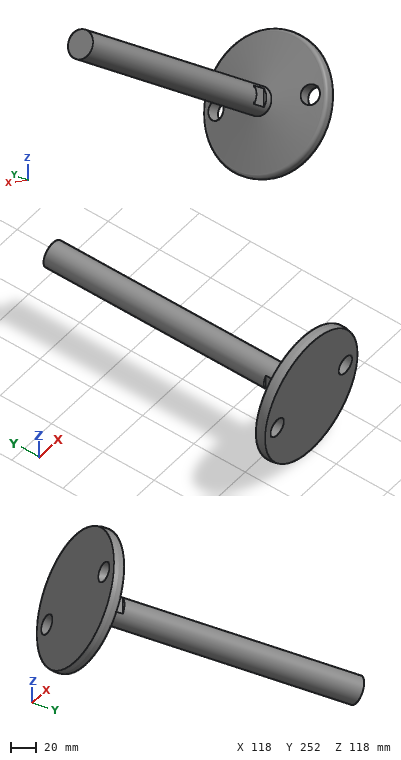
import cadquery as cq
import math

foot_diameter = 118.0
total_length = 252.0
stem_diameter = 24.0

rim_height = 10.0
cone_top_y = 17.35
rim_round = 3.0
sole_taper_height = 3.8
sole_taper_inset = 0.8

across_flats = 19.0
flat_start_y = 24.0
flat_length = 13.0

hole_diameter = 16.5
hole_sole_radius = 42.9

foot_radius = foot_diameter / 2
stem_radius = stem_diameter / 2
cone_edge_radius = foot_radius - rim_round
cone_angle = math.atan2(cone_top_y - rim_height, cone_edge_radius - stem_radius)


def make_foot():
    """Disc with a tapered sole edge, a rounded rim and a conical back, revolved about Y."""
    profile = (
        cq.Workplane("XY")
        .moveTo(0, 0)
        .lineTo(foot_radius - sole_taper_inset, 0)
        .lineTo(foot_radius, sole_taper_height)
        .lineTo(foot_radius, rim_height - rim_round)
        .radiusArc((cone_edge_radius, rim_height), -rim_round)
        .lineTo(stem_radius, cone_top_y)
        .lineTo(0, cone_top_y)
        .close()
    )
    return profile.revolve(360, (0, 0, 0), (0, 1, 0))


def make_stem():
    """Round bar from the sole plane to the far end."""
    return cq.Workplane("XZ").circle(stem_radius).extrude(-total_length)


def make_flat_cutter(side):
    """Block that mills one wrench flat; side is -1 or +1 along X."""
    center_x = side * (across_flats + stem_diameter) / 2
    center_y = flat_start_y + flat_length / 2
    return cq.Workplane("XY").box(stem_diameter, flat_length, stem_diameter).translate((center_x, center_y, 0))


def make_hole_cutter(side):
    """Cylinder leaning outward towards the cone; side is -1 or +1 along X."""
    direction = cq.Vector(side * math.sin(cone_angle), math.cos(cone_angle), 0)
    reach = 2 * cone_top_y
    start = cq.Vector(side * hole_sole_radius, 0, 0) - direction * reach
    cylinder = cq.Solid.makeCylinder(hole_diameter / 2, 2 * reach, start, direction)
    return cq.Workplane(obj=cylinder)


result = make_foot().union(make_stem())
for side in (-1, 1):
    result = result.cut(make_flat_cutter(side))
    result = result.cut(make_hole_cutter(side))